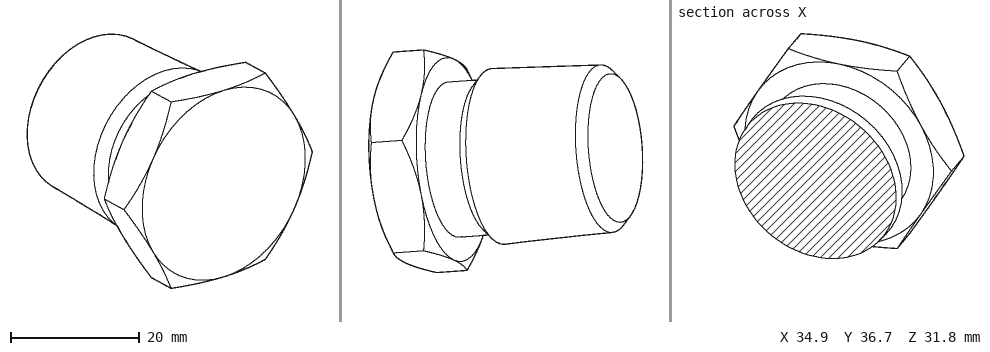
import cadquery as cq
import math

total_length = 34.925
across_flats = 31.75
head_thickness = 7.94

tip_chamfer = 1.5
shoulder_chamfer = 1.63
taper_length = 18.07
taper_small_radius = 13.07
taper_large_radius = 13.72
tip_radius = taper_small_radius - tip_chamfer
neck_radius = taper_large_radius - shoulder_chamfer

hex_sides = 6
across_corners = across_flats / math.cos(math.pi / hex_sides)
head_chamfer_angle = 30
head_chamfer_height = (across_corners - across_flats) / 2 * math.tan(math.radians(head_chamfer_angle))

tip_x = 0
taper_start_x = tip_x + tip_chamfer
taper_end_x = taper_start_x + taper_length
neck_start_x = taper_end_x + shoulder_chamfer
head_end_x = tip_x + total_length
head_start_x = head_end_x - head_thickness


def revolve_about_x(profile_points):
    """Turn a closed (x, radius) outline, drawn towards +Z, around the X axis."""
    outline = cq.Workplane("XZ").polyline(profile_points).close()
    return outline.revolve(360, (0, 0, 0), (1, 0, 0))


def make_body():
    """Chamfered tip, tapered length, shoulder chamfer and neck up to the head."""
    return revolve_about_x([
        (tip_x, 0),
        (tip_x, tip_radius),
        (taper_start_x, taper_small_radius),
        (taper_end_x, taper_large_radius),
        (neck_start_x, neck_radius),
        (head_start_x, neck_radius),
        (head_start_x, 0),
    ])


def make_head():
    """Hex prism with corners at +Y and -Y, its corners chamfered on both faces."""
    prism = (
        cq.Workplane("YZ", origin=(head_start_x, 0, 0))
        .polygon(hex_sides, across_corners)
        .extrude(head_thickness)
    )
    face_radius = across_flats / 2
    corner_radius = across_corners / 2
    chamfer_envelope = revolve_about_x([
        (head_start_x, 0),
        (head_start_x, face_radius),
        (head_start_x + head_chamfer_height, corner_radius),
        (head_end_x - head_chamfer_height, corner_radius),
        (head_end_x, face_radius),
        (head_end_x, 0),
    ])
    return prism.intersect(chamfer_envelope)


result = make_body().union(make_head())